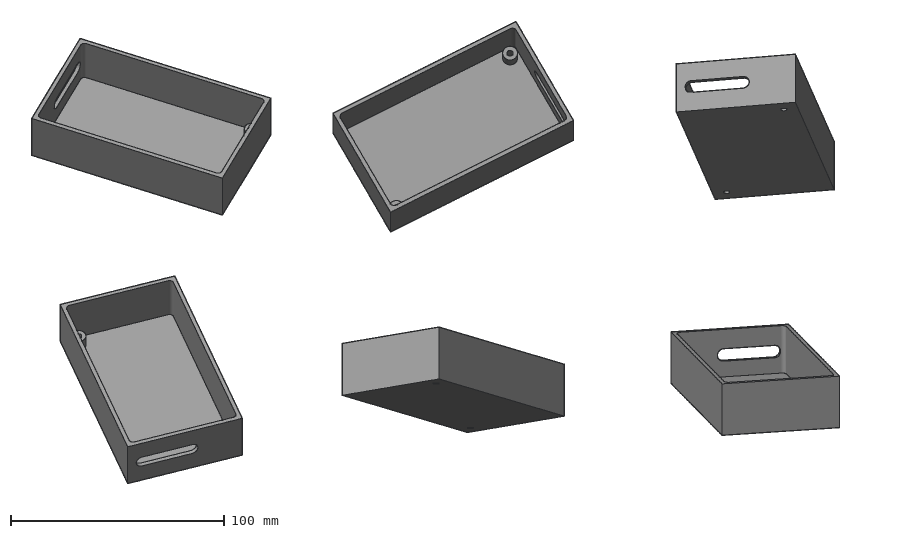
import cadquery as cq

length = 97.44
width = 56.8
height = 25.0
wall = 2.0
floor = 2.0
cavity_corner_radius = 2.0

post_diameter = 7.0
post_height = 6.0
post_hole_diameter = 2.8
post_inset = 6.8

slot_length = 30.5
slot_height = 6.0
slot_center_y = 8.9
slot_center_z = 12.6

post_x = length / 2 - post_inset
post_y = width / 2 - post_inset
post_centers = [(-post_x, -post_y), (post_x, post_y)]


def open_box():
    """Rectangular tray with an open top and rounded vertical cavity corners."""
    outside = cq.Workplane("XY").box(length, width, height, centered=(True, True, False))
    cavity = (
        cq.Workplane("XY", origin=(0, 0, floor))
        .rect(length - 2 * wall, width - 2 * wall)
        .extrude(height - floor)
        .edges("|Z")
        .fillet(cavity_corner_radius)
    )
    return outside.cut(cavity)


def add_posts(body):
    """Raise the posts from the floor and drill each one through the floor."""
    posts = (
        cq.Workplane("XY")
        .pushPoints(post_centers)
        .circle(post_diameter / 2)
        .extrude(floor + post_height)
    )
    holes = (
        cq.Workplane("XY")
        .pushPoints(post_centers)
        .circle(post_hole_diameter / 2)
        .extrude(floor + post_height)
    )
    return body.union(posts).cut(holes)


def cut_wall_slot(body):
    """Cut the round-ended slot through the -X wall only."""
    slot = (
        cq.Workplane("YZ", origin=(-length / 2, slot_center_y, slot_center_z))
        .slot2D(slot_length, slot_height)
        .extrude(wall)
    )
    return body.cut(slot)


result = cut_wall_slot(add_posts(open_box()))